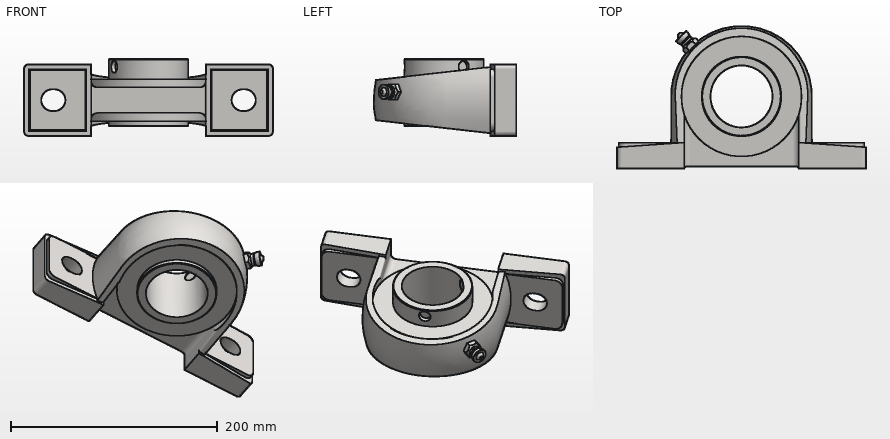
import cadquery as cq
import math


LENGTH = 241.0
BASE_DROP = 70.0
FOOT_INNER_X = 55.5
FOOT_WIDTH = 69.5
FOOT_OUTER_HEIGHT = 20.7
FOOT_INNER_HEIGHT = 25.3
FOOT_CORNER_RADIUS = 4.5
FOOT_WALL = 4.8
POCKET_DEPTH = 10.8
POCKET_DRAFT = 6.0
PAD_MARGIN = 1.7
PAD_WIDTH = 59.8
PAD_CORNER_RADIUS = 7.7
SLOT_X = 92.0
SLOT_LENGTH = 23.1
SLOT_WIDTH = 20.7

SHELL_RADIUS = 68.2
CROWN_RADIUS = 89.2
SHELL_TOP_HALF_WIDTH = 19.3
SHELL_FOOT_HALF_WIDTH = 32.0
LEG_ROOT = 2.5
RECESS_RADIUS = 58.0
RECESS_EDGE_RADIUS = 2.2
HUB_WIDTH = 40.5

WEB_WIDTH = 24.8
WEB_HEM = 2.0
WEB_FILLET = 5.8

INSERT_RADIUS = 38.5
BORE_RADIUS = 30.0
INSERT_TOP = 40.0
INSERT_BOTTOM = -25.3
INSERT_CHAMFER = 0.7
SCREW_ANGLES = (90.0, 210.0)
SCREW_Z = 32.3
SCREW_DIAMETER = 11.5
SCREW_RECESS = 4.8

FITTING_ANGLE = 135.0
FITTING_Z = 8.0
FITTING_ROOT = 62.7
HEX_FLATS = 15.0
HEX_END = 71.0
NECK_START = 73.7
NECK_RADIUS = 6.0
GROOVE_START = 76.5
GROOVE_END = 77.4
GROOVE_RADIUS = 5.3
COLLAR_RADIUS = 6.3
FLANGE_START = 80.0
FLANGE_END = 82.7
FLANGE_RADIUS = 7.0
TIP_BASE_RADIUS = 4.3
TIP_END = 85.5
TIP_RADIUS = 1.7

EDGE_TOLERANCE = 0.2

base_y = -BASE_DROP
foot_length = LENGTH / 2 - FOOT_INNER_X
foot_top = base_y + FOOT_INNER_HEIGHT


def both_sides(solid):
    """The right-hand solid together with its mirror image."""
    return solid.union(solid.mirror("YZ"))


def crown_section():
    """Half of the shell section in XZ, with its barrel-shaped outer wall."""
    half = FOOT_WIDTH / 2
    edge = SHELL_RADIUS - CROWN_RADIUS + math.sqrt(CROWN_RADIUS**2 - half**2)
    return (
        cq.Workplane("XZ")
        .moveTo(0, -half)
        .lineTo(edge, -half)
        .threePointArc((SHELL_RADIUS, 0), (edge, half))
        .lineTo(0, half)
        .close()
    )


def half_width(y):
    """Half the shell width along Z, which grows linearly towards the feet."""
    slope = (SHELL_FOOT_HALF_WIDTH - SHELL_TOP_HALF_WIDTH) / (SHELL_RADIUS - foot_top)
    return SHELL_TOP_HALF_WIDTH + slope * (SHELL_RADIUS - y)


def shell():
    """Barrel dome and straight legs around a U-shaped opening."""
    leg_end = foot_top - LEG_ROOT
    dome = crown_section().revolve(360, (0, 0), (0, 1))
    legs = both_sides(crown_section().extrude(-leg_end))
    wedge = (
        cq.Workplane("YZ")
        .polyline([
            (SHELL_RADIUS, -half_width(SHELL_RADIUS)),
            (SHELL_RADIUS, half_width(SHELL_RADIUS)),
            (leg_end, half_width(leg_end)),
            (leg_end, -half_width(leg_end)),
        ])
        .close()
        .extrude(SHELL_RADIUS, both=True)
    )
    hub_opening = cq.Workplane("XY").circle(RECESS_RADIUS).extrude(FOOT_WIDTH, both=True)
    leg_opening = (
        cq.Workplane("XY")
        .box(2 * FOOT_INNER_X, SHELL_RADIUS, 2 * FOOT_WIDTH)
        .translate((0, -SHELL_RADIUS / 2, 0))
    )
    walls = dome.union(legs).intersect(wedge).cut(leg_opening)
    inner_edges = cq.selectors.BoxSelector(
        (-FOOT_INNER_X - EDGE_TOLERANCE, leg_end, -FOOT_WIDTH),
        (FOOT_INNER_X + EDGE_TOLERANCE, 0, FOOT_WIDTH),
    )
    rounded = walls.edges(inner_edges).edges("not(|X or |Z)").fillet(RECESS_EDGE_RADIUS)
    return rounded.cut(hub_opening)


def web_section():
    """Half of the web outline in XZ, flaring into the inner faces of the leg and foot."""
    half = WEB_WIDTH / 2
    flare = half + WEB_FILLET
    start = FOOT_INNER_X - WEB_FILLET
    bend = WEB_FILLET * math.sqrt(0.5)
    return (
        cq.Workplane("XZ")
        .moveTo(0, -half)
        .lineTo(start, -half)
        .threePointArc((start + bend, -flare + bend), (FOOT_INNER_X, -flare))
        .lineTo(FOOT_INNER_X, flare)
        .threePointArc((start + bend, flare - bend), (start, half))
        .lineTo(0, half)
        .close()
    )


def web():
    """Right half of the web, with a concave fillet from its face to the foot."""
    web_y = base_y + WEB_HEM
    bend = WEB_HEM * (1 - math.sqrt(0.5))
    outline = (
        cq.Workplane("XY")
        .moveTo(0, 0)
        .lineTo(0, web_y)
        .lineTo(FOOT_INNER_X - WEB_HEM, web_y)
        .threePointArc((FOOT_INNER_X - bend, web_y - bend), (FOOT_INNER_X, base_y))
        .lineTo(FOOT_INNER_X, 0)
        .close()
        .extrude(FOOT_WIDTH / 2, both=True)
    )
    return web_section().extrude(BASE_DROP).intersect(outline)


def foot():
    """Right foot: sloping top with a flat bolting pad."""
    end_x = LENGTH / 2
    block = (
        cq.Workplane("XY")
        .polyline([
            (FOOT_INNER_X, base_y),
            (end_x, base_y),
            (end_x, base_y + FOOT_OUTER_HEIGHT),
            (FOOT_INNER_X, foot_top),
        ])
        .close()
        .extrude(FOOT_WIDTH / 2, both=True)
        .edges("|Y and >X")
        .fillet(FOOT_CORNER_RADIUS)
    )
    pad_length = foot_length - PAD_MARGIN
    pad = (
        cq.Workplane("XY")
        .box(pad_length, FOOT_INNER_HEIGHT - POCKET_DEPTH, PAD_WIDTH)
        .translate((FOOT_INNER_X + pad_length / 2, base_y + (FOOT_INNER_HEIGHT + POCKET_DEPTH) / 2, 0))
        .edges("|Y and >X")
        .fillet(PAD_CORNER_RADIUS)
    )
    return block.union(pad)


def foot_cuts():
    """Drafted pocket in the mounting face and the bolt slot through it."""
    foot_mid_x = FOOT_INNER_X + foot_length / 2
    pocket = (
        cq.Workplane("XZ", origin=(foot_mid_x, base_y, 0))
        .rect(foot_length - 2 * FOOT_WALL, FOOT_WIDTH - 2 * FOOT_WALL)
        .extrude(-POCKET_DEPTH, taper=POCKET_DRAFT)
    )
    slot = (
        cq.Workplane("XZ", origin=(SLOT_X, base_y, 0))
        .slot2D(SLOT_LENGTH, SLOT_WIDTH)
        .extrude(-FOOT_INNER_HEIGHT)
    )
    return pocket.union(slot)


def insert():
    """Bearing insert standing proud of the hub on both sides, before boring."""
    return (
        cq.Workplane("XY")
        .workplane(offset=INSERT_BOTTOM)
        .circle(INSERT_RADIUS)
        .extrude(INSERT_TOP - INSERT_BOTTOM)
        .faces("<Z or >Z")
        .chamfer(INSERT_CHAMFER)
    )


def radial_pin(start, length, angle):
    """Cylinder of the set screw diameter, lying along a radius of the insert."""
    return (
        cq.Workplane("YZ", origin=(start, 0, SCREW_Z))
        .circle(SCREW_DIAMETER / 2)
        .extrude(length)
        .rotate((0, 0, 0), (0, 0, 1), angle)
    )


def grease_fitting():
    """Hex-bodied nipple, drawn along +X and turned to its angle."""
    hex_corner = HEX_FLATS / math.sqrt(3)
    envelope = (
        cq.Workplane("XY")
        .polyline([
            (FITTING_ROOT, 0),
            (FITTING_ROOT, hex_corner),
            (HEX_END, hex_corner),
            (NECK_START, NECK_RADIUS),
            (GROOVE_START, NECK_RADIUS),
            (GROOVE_START, GROOVE_RADIUS),
            (GROOVE_END, GROOVE_RADIUS),
            (GROOVE_END, COLLAR_RADIUS),
            (FLANGE_START, FLANGE_RADIUS),
            (FLANGE_END, FLANGE_RADIUS),
            (FLANGE_END, TIP_BASE_RADIUS),
            (TIP_END, TIP_RADIUS),
            (TIP_END, 0),
        ])
        .close()
        .revolve(360, (0, 0, 0), (1, 0, 0))
    )
    hex_bar = (
        cq.Workplane("YZ", origin=(FITTING_ROOT, 0, 0))
        .polygon(6, 2 * hex_corner)
        .extrude(TIP_END - FITTING_ROOT)
    )
    return (
        envelope.intersect(hex_bar)
        .translate((0, 0, FITTING_Z))
        .rotate((0, 0, 0), (0, 0, 1), FITTING_ANGLE)
    )


hub = cq.Workplane("XY").circle(RECESS_RADIUS).extrude(HUB_WIDTH / 2, both=True)
bore = (
    cq.Workplane("XY")
    .workplane(offset=INSERT_BOTTOM)
    .circle(BORE_RADIUS)
    .extrude(INSERT_TOP - INSERT_BOTTOM)
)

result = shell().union(both_sides(foot())).union(both_sides(web()))
result = result.union(hub).union(insert()).union(grease_fitting())
result = result.cut(both_sides(foot_cuts())).cut(bore)

screw_length = INSERT_RADIUS - SCREW_RECESS - BORE_RADIUS
for screw_angle in SCREW_ANGLES:
    result = result.cut(radial_pin(0, INSERT_RADIUS, screw_angle))
    result = result.union(radial_pin(BORE_RADIUS, screw_length, screw_angle))